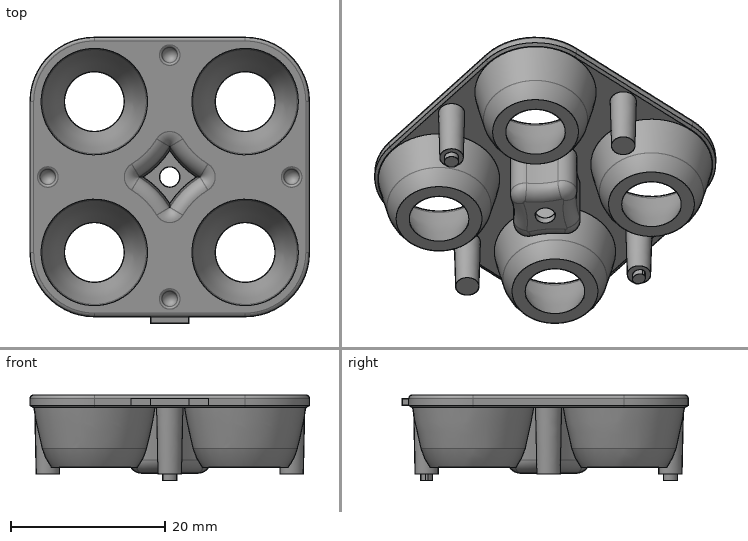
import cadquery as cq
import math

plate_side = 36.2
cup_pitch = 19.53
top_z = 11.1
plate_bottom_z = 9.5
rim_fillet = 0.5
rim_chamfer_inset = 0.4
rim_chamfer_height = 0.25

tab_width = 4.95
recess_width = 10.0
recess_depth = 0.15
tab_reach = 0.85

cup_bottom_z = 1.75
cup_shoulder_z = 4.15
cup_outer_top_radius = 7.85
cup_outer_middle_radius = 7.37
cup_shoulder_radius = 6.75
cup_outer_low_radius = 6.3
cup_outer_bottom_radius = 5.55
cup_mouth_radius = 6.9
cup_inner_top_radius = 6.75
cup_inner_middle_radius = 5.52
cup_bottom_radius = 3.85
cup_lip_depth = 0.5

leg_offset = 15.8
leg_bottom_z = 0.85
leg_top_radius = 1.7
leg_bottom_radius = 1.52
pin_radius = 0.93
narrow_pin_half_width = 0.78
narrow_pin_end_width = 0.3

dimple_radius = 1.0
dimple_lip_radius = 0.35

well_wall_radius = 11.38
well_floor_wall_radius = 11.65
well_floor_z = 1.95
well_hole_radius = 1.3
mouth_fillet = 1.95
well_boss_bottom_z = 0.95
well_boss_thickness = 1.9
well_boss_fillet = 1.7

half_side = plate_side / 2
half_pitch = cup_pitch / 2
corner_radius = half_side - half_pitch
recess_top_z = top_z - rim_fillet
recess_bottom_z = plate_bottom_z + rim_chamfer_height
quarter_turns = (0, 90, 180, 270)
diagonal = math.sqrt(0.5)


def corner_reach(wall_radius):
    """Distance from the part axis to a corner of the well outline."""
    return half_pitch - math.sqrt(wall_radius**2 - half_pitch**2)


def make_plate():
    plate = (
        cq.Workplane("XY")
        .workplane(offset=plate_bottom_z)
        .rect(plate_side, plate_side)
        .extrude(top_z - plate_bottom_z)
        .edges("|Z")
        .fillet(corner_radius)
    )
    plate = plate.faces(">Z").edges().fillet(rim_fillet)
    return plate.faces("<Z").chamfer(rim_chamfer_height, rim_chamfer_inset)


def make_edge_block(width, y_min, y_max):
    """Block on the -Y edge, as tall as the straight part of the rim."""
    return cq.Workplane("XY").box(
        width, y_max - y_min, recess_top_z - recess_bottom_z, centered=(True, False, False)
    ).translate((0, y_min, recess_bottom_z))


def at_cups(solid):
    """Four copies of a solid, one on the axis of each cup."""
    placed = cq.Workplane("XY")
    for x in (-half_pitch, half_pitch):
        for y in (-half_pitch, half_pitch):
            placed = placed.add(solid.translate((x, y, 0)))
    return placed.combine()


def make_cup_body():
    upper_middle_z = (plate_bottom_z + cup_shoulder_z) / 2
    lower_middle_z = (cup_shoulder_z + cup_bottom_z) / 2
    return (
        cq.Workplane("XZ")
        .moveTo(0, cup_bottom_z)
        .lineTo(cup_outer_bottom_radius, cup_bottom_z)
        .threePointArc((cup_outer_low_radius, lower_middle_z), (cup_shoulder_radius, cup_shoulder_z))
        .threePointArc((cup_outer_middle_radius, upper_middle_z), (cup_outer_top_radius, plate_bottom_z))
        .lineTo(0, plate_bottom_z)
        .close()
        .revolve(360, (0, 0), (0, 1))
    )


def make_cup_cavity():
    lip_z = top_z - cup_lip_depth
    return (
        cq.Workplane("XZ")
        .moveTo(0, cup_bottom_z)
        .lineTo(cup_bottom_radius, cup_bottom_z)
        .threePointArc((cup_inner_middle_radius, (cup_bottom_z + lip_z) / 2), (cup_inner_top_radius, lip_z))
        .lineTo(cup_mouth_radius, top_z)
        .lineTo(0, top_z)
        .close()
        .revolve(360, (0, 0), (0, 1))
    )


def make_leg():
    return cq.Workplane("XY").add(
        cq.Solid.makeCone(leg_bottom_radius, leg_top_radius, plate_bottom_z - leg_bottom_z)
    ).translate((0, 0, leg_bottom_z))


def make_narrow_pin():
    """Lens-shaped pin under the -Y leg, narrower along Y, with a small flat at each end."""
    half_end = narrow_pin_end_width / 2
    return (
        cq.Workplane("XY")
        .center(0, -leg_offset)
        .moveTo(-pin_radius, -half_end)
        .threePointArc((0, -narrow_pin_half_width), (pin_radius, -half_end))
        .lineTo(pin_radius, half_end)
        .threePointArc((0, narrow_pin_half_width), (-pin_radius, half_end))
        .close()
        .extrude(leg_bottom_z)
    )


def make_dimple():
    """Hemispherical pit with a rounded lip."""
    lip_z = top_z - dimple_lip_radius
    lip_edge = dimple_radius + dimple_lip_radius
    return (
        cq.Workplane("XZ")
        .moveTo(0, lip_z - dimple_radius)
        .threePointArc((dimple_radius * diagonal, lip_z - dimple_radius * diagonal), (dimple_radius, lip_z))
        .threePointArc(
            (lip_edge - dimple_lip_radius * diagonal, lip_z + dimple_lip_radius * diagonal), (lip_edge, top_z)
        )
        .lineTo(0, top_z)
        .close()
        .revolve(360, (0, 0), (0, 1))
    )


def make_well_boss():
    """Rounded four-sided boss under the plate, its wall offset outward from the well floor outline."""
    side_radius = well_floor_wall_radius - well_boss_thickness
    corner_center = corner_reach(well_floor_wall_radius)
    corner_tip = corner_center + well_boss_thickness
    side_middle = half_pitch - side_radius * diagonal
    share = well_boss_thickness / well_floor_wall_radius
    near_x = corner_center + (half_pitch - corner_center) * share
    near_y = half_pitch * share
    outline = cq.Workplane("XY").workplane(offset=well_boss_bottom_z).moveTo(near_x, -near_y)
    for turn in quarter_turns:
        cos_turn = round(math.cos(math.radians(turn)))
        sin_turn = round(math.sin(math.radians(turn)))

        def turned(x, y):
            return (x * cos_turn - y * sin_turn, x * sin_turn + y * cos_turn)

        outline = outline.threePointArc(turned(corner_tip, 0), turned(near_x, near_y))
        outline = outline.threePointArc(turned(side_middle, side_middle), turned(near_y, near_x))
    boss = outline.close().extrude(plate_bottom_z - well_boss_bottom_z)
    return boss.faces("<Z").edges().fillet(well_boss_fillet)


def make_well():
    """Drafted well below its rounded mouth: a block cut back by a cone on each cup axis."""
    depth = top_z - mouth_fillet - well_floor_z
    block = cq.Workplane("XY").rect(cup_pitch, cup_pitch).extrude(depth)
    cone = cq.Workplane("XY").add(cq.Solid.makeCone(well_floor_wall_radius, well_wall_radius, depth))
    return block.cut(at_cups(cone)).translate((0, 0, well_floor_z))


def make_well_mouth():
    """Rounded mouth of the well, flaring out to the top face along four walls and around four corners."""
    corner = corner_reach(well_wall_radius)
    bottom_z = top_z - mouth_fillet
    arc_inset = mouth_fillet * (1 - diagonal)
    wall_top_radius = well_wall_radius - mouth_fillet
    wall_core = (
        cq.Workplane("XZ")
        .moveTo(0, bottom_z)
        .lineTo(well_wall_radius, bottom_z)
        .threePointArc((well_wall_radius - arc_inset, top_z - arc_inset), (wall_top_radius, top_z))
        .lineTo(0, top_z)
        .close()
        .revolve(360, (0, 0), (0, 1))
        .translate((half_pitch, half_pitch, 0))
    )
    quarter = (
        cq.Workplane("XY")
        .workplane(offset=bottom_z)
        .moveTo(half_pitch, half_pitch)
        .lineTo(corner, 0)
        .lineTo(0, 0)
        .lineTo(0, corner)
        .close()
        .extrude(mouth_fillet)
        .cut(wall_core)
    )
    corner_flare = (
        cq.Workplane("XZ")
        .moveTo(0, bottom_z)
        .threePointArc((arc_inset, top_z - arc_inset), (mouth_fillet, top_z))
        .lineTo(0, top_z)
        .close()
        .revolve(360, (0, 0), (0, 1))
        .translate((corner, 0, 0))
    )
    mouth = cq.Workplane("XY")
    for turn in quarter_turns:
        for piece in (quarter, corner_flare):
            mouth = mouth.add(piece.rotate((0, 0, 0), (0, 0, 1), turn))
    return mouth.combine()


leg_places = [
    (leg_offset * round(math.cos(math.radians(turn))), leg_offset * round(math.sin(math.radians(turn))))
    for turn in quarter_turns
]

body = make_plate()
body = body.cut(make_edge_block(recess_width, -half_side, -half_side + recess_depth))
body = body.union(make_edge_block(tab_width, -half_side - tab_reach, -half_side + rim_fillet))
body = body.union(at_cups(make_cup_body()))
body = body.union(make_well_boss())
for x, y in leg_places:
    body = body.union(make_leg().translate((x, y, 0)))

round_pin = cq.Workplane("XY").center(0, leg_offset).circle(pin_radius).extrude(leg_bottom_z)
body = body.union(round_pin).union(make_narrow_pin())

body = body.cut(at_cups(make_cup_cavity()))
for x, y in leg_places:
    body = body.cut(make_dimple().translate((x, y, 0)))
body = body.cut(make_well()).cut(make_well_mouth())
well_hole = cq.Workplane("XY").circle(well_hole_radius).extrude(top_z)
result = body.cut(well_hole)